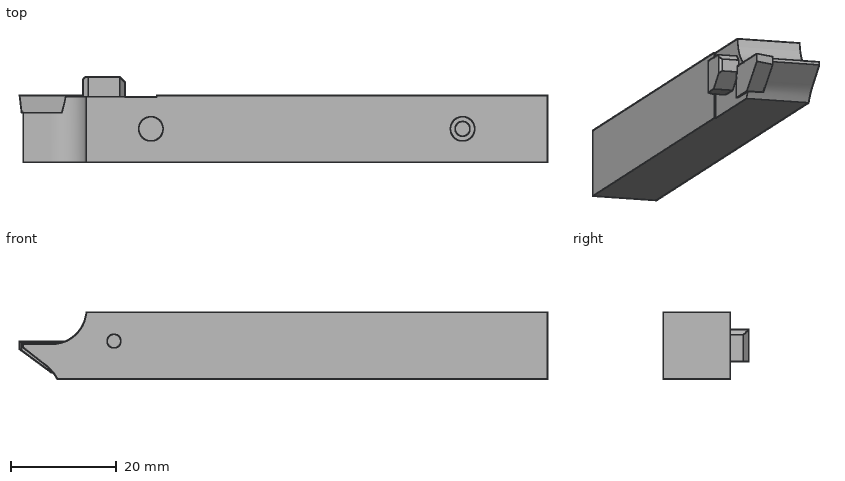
import cadquery as cq

length = 100.0
width = 12.7
height = 12.7

nose_x = 0.7
nose_land = 0.6
seat_z = 6.6
nose_slope_end = (4.5, 3.0)
nose_heel_mid = (6.0, 1.7)
nose_bottom_x = 7.2
gullet_start_x = 6.1
gullet_mid = (10.0, 7.9)
gullet_top = (12.3, 11.0)
gullet_edge_x = 12.7

relief_length = 26.0
relief_depth = 0.3

insert_width = 3.3
insert_top = 7.2
insert_inner_top = 6.9
insert_end_x = 12.4
insert_corner_z = 5.7
insert_heel = (6.1, 1.2)
insert_side_taper = 0.4

head_left = 12.0
head_right = 20.0
head_bottom = 3.3
head_top = 9.4
head_chamfer = 1.0
head_slope_z = 6.1
head_slope_x = 15.6
head_face_y = 16.2
head_left_chamfer = 0.5

recess_depth = 0.1
pin_x = 17.9
pin_z = insert_top
pin_diameter = 2.6
screw_diameter = 4.6
front_screw_x = 24.9
rear_screw_x = 83.9
socket_diameter = 2.8
socket_depth = 2 * recess_depth


def extrude_along_y(profile, y_start, y_end):
    """Extrude a closed XZ profile, drawn at Y = 0, between two Y positions."""
    return profile.extrude(-(y_end - y_start)).translate((0, y_start, 0))


def make_bar():
    profile = (
        cq.Workplane("XZ")
        .moveTo(nose_bottom_x, 0)
        .lineTo(length, 0)
        .lineTo(length, height)
        .lineTo(gullet_edge_x, height)
        .lineTo(*gullet_top)
        .threePointArc(gullet_mid, (gullet_start_x, seat_z))
        .lineTo(nose_x, seat_z)
        .lineTo(nose_x, seat_z - nose_land)
        .lineTo(*nose_slope_end)
        .threePointArc(nose_heel_mid, (nose_bottom_x, 0))
        .close()
    )
    bar = extrude_along_y(profile, 0, width)
    relief = cq.Workplane("XY").box(relief_length, relief_depth, height, centered=False)
    return bar.cut(relief.translate((0, width - relief_depth, 0)))


def make_insert():
    profile = (
        cq.Workplane("XZ")
        .moveTo(0, insert_top)
        .lineTo(0, insert_corner_z)
        .lineTo(*insert_heel)
        .lineTo(insert_end_x, insert_heel[1])
        .lineTo(insert_end_x, insert_top)
        .close()
    )
    blank = extrude_along_y(profile, width - insert_width, width)
    plan = (
        cq.Workplane("XY")
        .moveTo(0, width)
        .lineTo(insert_side_taper, width - insert_width)
        .lineTo(insert_end_x, width - insert_width)
        .lineTo(insert_end_x, width)
        .close()
        .extrude(height)
    )
    section = (
        cq.Workplane("YZ")
        .moveTo(width, 0)
        .lineTo(width, insert_top)
        .lineTo(width - insert_width, insert_inner_top)
        .lineTo(width - insert_width, 0)
        .close()
        .extrude(insert_end_x)
    )
    return blank.intersect(plan).intersect(section)


def make_clamp_head():
    profile = (
        cq.Workplane("XZ")
        .moveTo(head_left + head_chamfer, head_top)
        .lineTo(head_right - head_chamfer, head_top)
        .lineTo(head_right, head_top - head_chamfer)
        .lineTo(head_right, head_bottom)
        .lineTo(head_slope_x, head_bottom)
        .lineTo(head_left, head_slope_z)
        .lineTo(head_left, head_top - head_chamfer)
        .close()
    )
    blank = extrude_along_y(profile, width - 2 * relief_depth, head_face_y)
    plan = (
        cq.Workplane("XY")
        .moveTo(head_left, 0)
        .lineTo(head_right, 0)
        .lineTo(head_right, head_face_y - head_chamfer)
        .lineTo(head_right - head_chamfer, head_face_y)
        .lineTo(head_left + head_left_chamfer, head_face_y)
        .lineTo(head_left, head_face_y - head_left_chamfer)
        .close()
        .extrude(height)
    )
    return blank.intersect(plan)


def top_recess(x, diameter, depth):
    """Cutter for a round recess in the top face on the bar's centre line."""
    plane = cq.Workplane("XY", origin=(x, width / 2, height))
    return plane.circle(diameter / 2).extrude(-depth)


def pin_recess():
    plane = cq.Workplane("XZ", origin=(pin_x, 0, pin_z))
    return plane.circle(pin_diameter / 2).extrude(-recess_depth)


result = make_bar().union(make_insert()).union(make_clamp_head())
for screw_x in (front_screw_x, rear_screw_x):
    result = result.cut(top_recess(screw_x, screw_diameter, recess_depth))
result = result.cut(top_recess(rear_screw_x, socket_diameter, socket_depth))
result = result.cut(pin_recess())